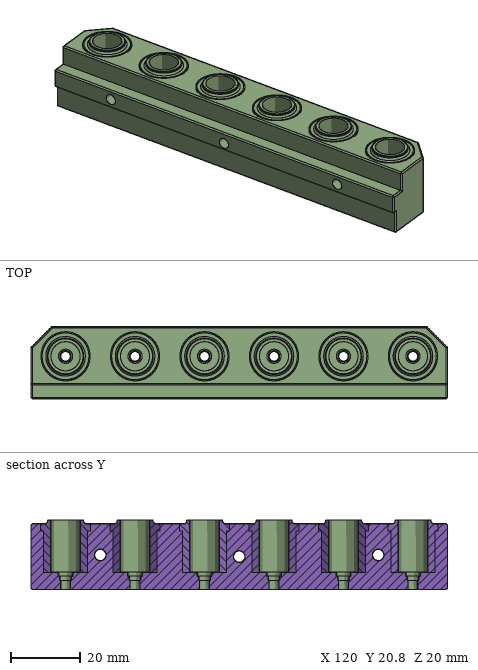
import cadquery as cq

LENGTH = 120.0
BLOCK_HEIGHT = 19.0
UPPER_DEPTH = 16.8
LOWER_DEPTH = 19.7
TONGUE_DEPTH = 20.8
BACK_Y = TONGUE_DEPTH / 2
TONGUE_BOTTOM = 7.1
TONGUE_TOP = 13.0
CORNER_CUT = 6.0
EDGE_CHAMFER = 0.42

CROSS_HOLE_DIAMETER = 3.2
CROSS_HOLE_SPACING = LENGTH / 3
OUTER_CROSS_HOLE_Z = 10.0
MIDDLE_CROSS_HOLE_Z = 9.5

BUSHING_COUNT = 6
BUSHING_PITCH = LENGTH / BUSHING_COUNT
BUSHING_SETBACK = 8.5
BUSHING_Y = BACK_Y - BUSHING_SETBACK
BUSHING_BASE_Z = 5.0
BUSHING_TOP_Z = 20.0
BUSHING_BORE = 8.4
BUSHING_BODY_DIAMETER = 12.5
FLANGE_DIAMETER = 14.2
FLANGE_THICKNESS = 2.0
FLANGE_BASE_Z = BLOCK_HEIGHT - FLANGE_THICKNESS
FLANGE_CHAMFER = 0.4
RIM_BASE_DIAMETER = 11.4
RIM_TOP_DIAMETER = 10.5
RIM_BAND_HEIGHT = 0.5
RIM_CHAMFER = 0.18

DRAIN_MOUTH_DIAMETER = 4.1
DRAIN_NECK_DIAMETER = 3.2
DRAIN_DIAMETER = 2.8
DRAIN_STEP_DEPTH = 1.2

bushing_xs = [(i - (BUSHING_COUNT - 1) / 2) * BUSHING_PITCH for i in range(BUSHING_COUNT)]


def cylinder(x, y, diameter, bottom, top):
    """Vertical cylinder between two heights."""
    return cq.Workplane("XY", origin=(x, y, bottom)).circle(diameter / 2).extrude(top - bottom)


def make_bar():
    """Stepped bar with a tongue along its front, cut back corners and broken edges."""
    upper_y = BACK_Y - UPPER_DEPTH
    lower_y = BACK_Y - LOWER_DEPTH
    tongue_y = BACK_Y - TONGUE_DEPTH
    profile = [
        (BACK_Y, 0),
        (BACK_Y, BLOCK_HEIGHT),
        (upper_y, BLOCK_HEIGHT),
        (upper_y, TONGUE_TOP),
        (tongue_y, TONGUE_TOP),
        (tongue_y, TONGUE_BOTTOM),
        (lower_y, TONGUE_BOTTOM),
        (lower_y, 0),
    ]
    bar = cq.Workplane("YZ", origin=(-LENGTH / 2, 0, 0)).polyline(profile).close().extrude(LENGTH)
    bar = bar.edges("|Z and >Y").chamfer(CORNER_CUT)
    end_edges = bar.faces("<X or >X").edges("not (|Z and >Y)")
    long_edges = bar.faces(">Z or <Z or <Y").edges()
    return long_edges.add(end_edges).chamfer(EDGE_CHAMFER)


def cut_cross_holes(block):
    """Three holes along Y; the middle one sits slightly lower."""
    holes = [
        (-CROSS_HOLE_SPACING, OUTER_CROSS_HOLE_Z),
        (0, MIDDLE_CROSS_HOLE_Z),
        (CROSS_HOLE_SPACING, OUTER_CROSS_HOLE_Z),
    ]
    for x, z in holes:
        drill = cq.Workplane("XZ", origin=(x, BACK_Y, z)).circle(CROSS_HOLE_DIAMETER / 2).extrude(TONGUE_DEPTH)
        block = block.cut(drill)
    return block


def cut_bushing_seat(block, x):
    """Stepped seat for one bushing, with the drain hole through its floor."""
    mouth_base = BUSHING_BASE_Z - DRAIN_STEP_DEPTH
    neck_base = mouth_base - DRAIN_STEP_DEPTH
    steps = [
        (FLANGE_DIAMETER, FLANGE_BASE_Z, BLOCK_HEIGHT),
        (BUSHING_BODY_DIAMETER, BUSHING_BASE_Z, FLANGE_BASE_Z),
        (DRAIN_MOUTH_DIAMETER, mouth_base, BUSHING_BASE_Z),
        (DRAIN_NECK_DIAMETER, neck_base, mouth_base),
        (DRAIN_DIAMETER, 0, neck_base),
    ]
    for diameter, bottom, top in steps:
        block = block.cut(cylinder(x, BUSHING_Y, diameter, bottom, top))
    return block


def make_bushing(x):
    """Flanged bushing: its flange lies flush with the block and its tapered rim stands above it."""
    bore_radius = BUSHING_BORE / 2
    body_radius = BUSHING_BODY_DIAMETER / 2
    flange_radius = FLANGE_DIAMETER / 2
    rim_base_radius = RIM_BASE_DIAMETER / 2
    rim_top_radius = RIM_TOP_DIAMETER / 2
    half_section = [
        (bore_radius, BUSHING_BASE_Z),
        (body_radius, BUSHING_BASE_Z),
        (body_radius, FLANGE_BASE_Z),
        (flange_radius, FLANGE_BASE_Z),
        (flange_radius, BLOCK_HEIGHT - FLANGE_CHAMFER),
        (flange_radius - FLANGE_CHAMFER, BLOCK_HEIGHT),
        (rim_base_radius, BLOCK_HEIGHT),
        (rim_top_radius, BUSHING_TOP_Z - RIM_BAND_HEIGHT),
        (rim_top_radius, BUSHING_TOP_Z - RIM_CHAMFER),
        (rim_top_radius - RIM_CHAMFER, BUSHING_TOP_Z),
        (bore_radius, BUSHING_TOP_Z),
    ]
    section = cq.Workplane("XZ", origin=(x, BUSHING_Y, 0)).polyline(half_section).close()
    return section.revolve(360, (0, 0, 0), (0, 1, 0))


block = cut_cross_holes(make_bar())
for bushing_x in bushing_xs:
    block = cut_bushing_seat(block, bushing_x)

bushings = [make_bushing(bushing_x) for bushing_x in bushing_xs]

result = cq.Compound.makeCompound([block.val(), *[bushing.val() for bushing in bushings]])